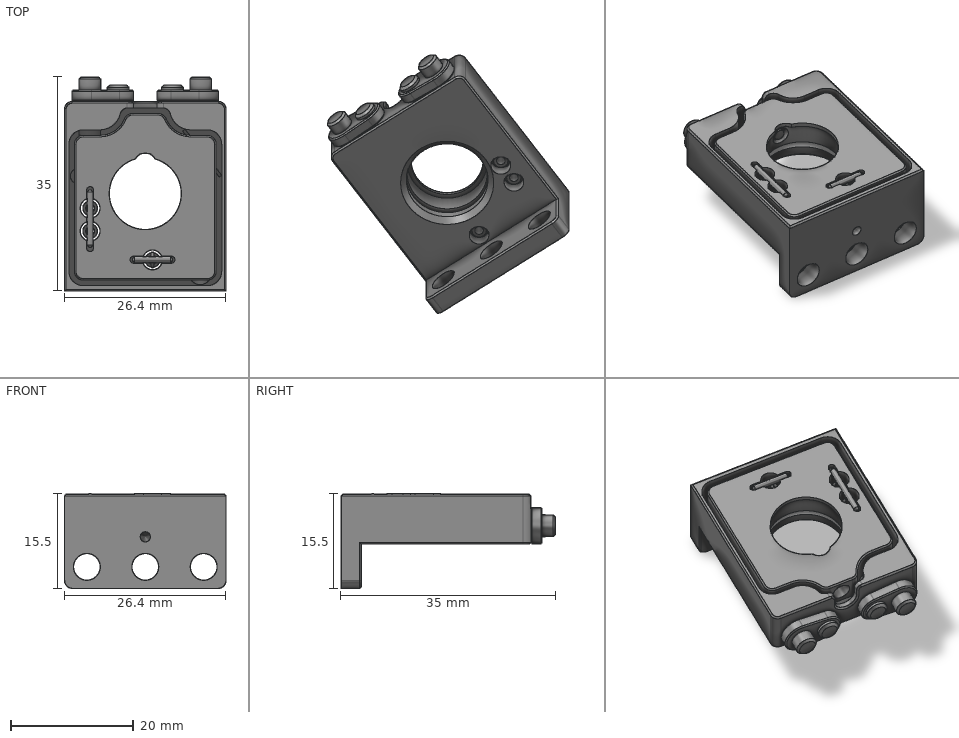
import cadquery as cq
import math


width = 26.42
housing_length = 31.0
housing_top = 15.43
slab_thickness = 8.16
slab_bottom = housing_top - slab_thickness
flange_thickness = 3.3
flange_corner_radius = 1.35
back_corner_radius = 1.25
edge_chamfer = 0.28

mount_hole_diameter = 4.33
mount_hole_spacing = 9.55
mount_hole_z = 3.55
index_hole_diameter = 1.66
index_hole_z = 8.46
index_hole_depth = 3.0
drill_tip_angle = 118

floor_z = housing_top - 5.75
pocket_half_width = 12.5
pocket_front = 0.88
pocket_shoulder = 26.37
pocket_back = 29.95
pocket_corner_radius = 2.4
pocket_neck_radius = 1.3
lobe_radius = 3.4
lobe_x = 7.4
lobe_y = pocket_shoulder + lobe_radius
back_channel_radius = 1.95
back_channel_shoulder_radius = 1.0

plate_gap = 0.9
plate_top = housing_top
plate_thickness = 4.6
plate_bottom = plate_top - plate_thickness
plate_corner_radius = pocket_corner_radius - plate_gap
plate_neck_radius = 1.5
plate_chamfer = 0.25

bore_y = 15.95
lip_radius = 5.87
lip_thickness = 0.7
optic_radius = 6.55
housing_bore_radius = 6.66
rear_chamfer = 0.95
notch_radius = 1.81
notch_y = 20.75

screw_z = 13.1
screw_hole_radius = 1.5
screw_front = 23.5
screw_back = 27.0
screw_tip_radius = 0.9
screw_tip_length = 0.8

round_seat_radius = 1.25
round_seat_position = (-11.0, 18.8)
cone_seat_radius = 1.8
cone_seat_position = (8.96, 2.85)
seat_depth = 0.8
floor_groove_start = (6.3, 26.3)
floor_groove_end = (12.3, 18.8)
floor_groove_width = 0.5
floor_groove_depth = 0.6

adjuster_z = 10.27
knob_x = 9.06
knob_radius = 1.785
knob_end = 35.0
knob_chamfer = 0.35
shaft_radius = 1.74
rivet_x = 4.43
rivet_radius = 1.8
rivet_end = 33.7
rivet_chamfer = 0.42
tab_knob_radius = 2.95
tab_rivet_radius = 2.52
tab_end = 32.85
tab_chamfer = 0.22

pin_radius = 0.5
pin_top = 15.53
pin_z = pin_top - pin_radius
pin_chamfer = 0.35
slot_width = 1.15
spring_hole_radius = 1.6
coil_radius = 0.95
wire_radius = 0.25
coil_top = 13.5
coil_bottom = 9.0

long_pin_length = 9.4
long_pin_center = (-9.02, 11.85)
long_slot_length = 10.6
long_slot_center = (-9.02, 11.78)
long_pin_springs = [(-9.02, 13.55), (-9.02, 9.8)]

short_pin_length = 6.6
short_pin_center = (1.18, 5.13)
short_slot_length = 7.33
short_slot_center = short_pin_center
short_pin_springs = [(1.18, 5.1)]

spring_positions = long_pin_springs + short_pin_springs


def cylinder_y(radius, x, z, start, end):
    """Cylinder along Y between two Y values."""
    return cq.Workplane("XZ", origin=(x, start, z)).circle(radius).extrude(start - end)


def cylinder_z(radius, x, y, bottom, top):
    """Cylinder along Z between two Z values."""
    return cq.Workplane("XY", origin=(x, y, bottom)).circle(radius).extrude(top - bottom)


def shouldered_prism(
    half_width, front, shoulder, back, scoop_radius, neck_radius, corner_radius, bottom, top
):
    """Rounded rectangle with a narrower neck at the back, joined by S-shaped flanks.

    Each flank is a scoop around the lobe centre followed by a tangent neck arc.
    """
    neck_y = back - neck_radius
    reach = scoop_radius + neck_radius
    neck_x = lobe_x - math.sqrt(reach**2 - (lobe_y - neck_y) ** 2)
    scoop_end = math.atan2(neck_y - lobe_y, neck_x - lobe_x) % (2 * math.pi)
    scoop_middle = (scoop_end + 1.5 * math.pi) / 2
    neck_start = scoop_end - math.pi
    neck_middle = (neck_start + math.pi / 2) / 2

    def on_scoop(angle):
        return lobe_x + scoop_radius * math.cos(angle), lobe_y + scoop_radius * math.sin(angle)

    def on_neck(angle):
        return neck_x + neck_radius * math.cos(angle), neck_y + neck_radius * math.sin(angle)

    def mirrored(point):
        return -point[0], point[1]

    outline = (
        cq.Workplane("XY", origin=(0, 0, bottom))
        .moveTo(-half_width, front)
        .lineTo(half_width, front)
        .lineTo(half_width, shoulder)
        .lineTo(lobe_x, shoulder)
        .threePointArc(on_scoop(scoop_middle), on_scoop(scoop_end))
        .threePointArc(on_neck(neck_middle), (neck_x, back))
        .lineTo(-neck_x, back)
        .threePointArc(mirrored(on_neck(neck_middle)), mirrored(on_scoop(scoop_end)))
        .threePointArc(mirrored(on_scoop(scoop_middle)), (-lobe_x, shoulder))
        .lineTo(-half_width, shoulder)
        .close()
    )
    prism = outline.extrude(top - bottom)
    for side in (-1, 1):
        side_x = side * half_width
        corners = cq.selectors.BoxSelector(
            (side_x - corner_radius, front - corner_radius, bottom),
            (side_x + corner_radius, shoulder + corner_radius, top),
        )
        prism = prism.edges("|Z").edges(corners).fillet(corner_radius)
    return prism


def make_housing_block():
    """L-shaped block: a slab with a mounting flange hanging below its front."""
    slab = (
        cq.Workplane("XY", origin=(0, 0, slab_bottom))
        .rect(width, 2 * housing_length)
        .extrude(slab_thickness)
        .edges("|Z and >Y")
        .fillet(back_corner_radius)
        .faces("<Z")
        .chamfer(edge_chamfer)
    )
    front_half = cq.Workplane("XY").box(2 * width, 2 * housing_length, 4 * housing_top)
    slab = slab.cut(front_half.translate((0, -housing_length, 0)))
    flange = (
        cq.Workplane("XY")
        .box(width, flange_thickness, housing_top, centered=(True, False, False))
        .edges("|Y and <Z")
        .fillet(flange_corner_radius)
        .faces(">Y")
        .chamfer(edge_chamfer)
    )
    return slab.union(flange).faces(">Z").chamfer(edge_chamfer)


def make_adjuster(side):
    """Tab with a knob and a rivet, on the back face at the given side."""
    knob_center = side * knob_x
    rivet_center = side * rivet_x
    tilt = math.asin((tab_knob_radius - tab_rivet_radius) / (knob_x - rivet_x))
    toward_rivet = -side * math.sin(tilt)
    knob_tangent_x = knob_center + tab_knob_radius * toward_rivet
    rivet_tangent_x = rivet_center + tab_rivet_radius * toward_rivet
    knob_rise = tab_knob_radius * math.cos(tilt)
    rivet_rise = tab_rivet_radius * math.cos(tilt)
    tab = (
        cq.Workplane("XZ", origin=(0, housing_length, adjuster_z))
        .moveTo(knob_tangent_x, knob_rise)
        .lineTo(rivet_tangent_x, rivet_rise)
        .threePointArc((rivet_center - side * tab_rivet_radius, 0), (rivet_tangent_x, -rivet_rise))
        .lineTo(knob_tangent_x, -knob_rise)
        .threePointArc((knob_center + side * tab_knob_radius, 0), (knob_tangent_x, knob_rise))
        .close()
        .extrude(housing_length - tab_end)
        .faces("<Y or >Y")
        .chamfer(tab_chamfer)
    )
    knob = cylinder_y(knob_radius, knob_center, adjuster_z, housing_length, knob_end)
    rivet = cylinder_y(rivet_radius, rivet_center, adjuster_z, housing_length, rivet_end)
    knob = knob.faces(">Y").chamfer(knob_chamfer)
    rivet = rivet.faces(">Y").chamfer(rivet_chamfer)
    return tab.union(knob).union(rivet)


def cut_pocket(body):
    """Pocket for the plate, with a channel of chamfered mouth out through the back wall."""
    pocket = shouldered_prism(
        pocket_half_width, pocket_front, pocket_shoulder, pocket_back,
        lobe_radius, pocket_neck_radius, pocket_corner_radius, floor_z, housing_top,
    )
    body = body.cut(pocket).cut(make_back_channel())
    half_mouth = back_channel_radius + back_channel_shoulder_radius
    mouth_region = cq.selectors.BoxSelector(
        (-half_mouth, housing_length - edge_chamfer / 2, slab_bottom + edge_chamfer),
        (half_mouth, housing_length + edge_chamfer / 2, housing_top),
    )
    return body.edges(mouth_region).chamfer(edge_chamfer)


def make_back_channel():
    """U-shaped channel along Y whose sides flare out at the top over rounded shoulders."""
    half_width = back_channel_radius
    shoulder_radius = back_channel_shoulder_radius
    half_mouth = half_width + shoulder_radius
    shoulder_z = housing_top - shoulder_radius
    arc_offset = shoulder_radius * (1 - math.sqrt(0.5))
    arc_x = half_width + arc_offset
    arc_z = housing_top - arc_offset
    return (
        cq.Workplane("XZ", origin=(0, housing_length, 0))
        .moveTo(-half_width, screw_z)
        .threePointArc((0, screw_z - half_width), (half_width, screw_z))
        .lineTo(half_width, shoulder_z)
        .threePointArc((arc_x, arc_z), (half_mouth, housing_top))
        .lineTo(-half_mouth, housing_top)
        .threePointArc((-arc_x, arc_z), (-half_width, shoulder_z))
        .close()
        .extrude(housing_length - bore_y)
    )


def cut_floor_features(body):
    """Bore, spring holes, ball seats and grooves in the pocket floor."""
    body = body.cut(cylinder_z(housing_bore_radius, 0, bore_y, slab_bottom, floor_z))
    rear_cone = cq.Solid.makeCone(
        housing_bore_radius + rear_chamfer, housing_bore_radius, rear_chamfer,
        cq.Vector(0, bore_y, slab_bottom), cq.Vector(0, 0, 1),
    )
    body = body.cut(cq.Workplane(rear_cone))
    for x, y in spring_positions:
        body = body.cut(cylinder_z(spring_hole_radius, x, y, slab_bottom, floor_z))
    body = body.cut(cylinder_z(round_seat_radius, *round_seat_position, floor_z - seat_depth, floor_z))
    cone_seat = cq.Solid.makeCone(
        cone_seat_radius - seat_depth, cone_seat_radius, seat_depth,
        cq.Vector(*cone_seat_position, floor_z - seat_depth), cq.Vector(0, 0, 1),
    )
    body = body.cut(cq.Workplane(cone_seat))
    run_x = floor_groove_end[0] - floor_groove_start[0]
    run_y = floor_groove_end[1] - floor_groove_start[1]
    groove_plane = cq.Plane(
        origin=(*floor_groove_start, floor_z), xDir=(-run_y, run_x, 0), normal=(run_x, run_y, 0)
    )
    half_groove = floor_groove_width / 2
    groove = (
        cq.Workplane(groove_plane)
        .polyline([(-half_groove, 0), (half_groove, 0), (half_groove, -floor_groove_depth)])
        .close()
        .extrude(math.hypot(run_x, run_y))
    )
    return body.cut(groove)


def cut_mounting_holes(body):
    """Three through holes and one conical-ended index hole in the mounting face."""
    for column in (-1, 0, 1):
        hole_x = column * mount_hole_spacing
        body = body.cut(
            cylinder_y(mount_hole_diameter / 2, hole_x, mount_hole_z, 0, flange_thickness)
        )
    index_radius = index_hole_diameter / 2
    tip_length = index_radius / math.tan(math.radians(drill_tip_angle / 2))
    tip = cq.Solid.makeCone(
        index_radius, 0, tip_length, cq.Vector(0, index_hole_depth, index_hole_z), cq.Vector(0, 1, 0)
    )
    index_hole = cylinder_y(index_radius, 0, index_hole_z, 0, index_hole_depth)
    return body.cut(index_hole.union(cq.Workplane(tip)))


def make_housing():
    body = make_housing_block()
    body = cut_pocket(body)
    body = cut_floor_features(body)
    body = cut_mounting_holes(body)
    for side in (-1, 1):
        body = body.union(make_adjuster(side))
    shaft = cylinder_y(
        shaft_radius, -knob_x, adjuster_z, pocket_shoulder - plate_gap, housing_length
    )
    return body.union(shaft)


def make_plate():
    """Optic carrier floating in the pocket."""
    body = shouldered_prism(
        pocket_half_width - plate_gap, pocket_front + plate_gap,
        pocket_shoulder - plate_gap, pocket_back - plate_gap,
        lobe_radius + plate_gap, plate_neck_radius, plate_corner_radius, plate_bottom, plate_top,
    )
    body = body.faces(">Z").chamfer(plate_chamfer)

    body = body.cut(cylinder_z(lip_radius, 0, bore_y, plate_bottom, plate_top))
    body = body.cut(cylinder_z(optic_radius, 0, bore_y, plate_bottom, plate_top - lip_thickness))
    body = body.cut(cylinder_z(notch_radius, 0, notch_y, plate_top - lip_thickness, plate_top))

    body = body.cut(cylinder_y(screw_hole_radius, 0, screw_z, bore_y, screw_front))
    body = body.cut(cylinder_y(screw_hole_radius, 0, screw_z, screw_back, pocket_back))
    body = body.union(
        cylinder_y(screw_tip_radius, 0, screw_z, screw_front - screw_tip_length, screw_front)
    )

    for x, y in spring_positions:
        body = body.cut(cylinder_z(spring_hole_radius, x, y, plate_bottom, plate_top))
    slot_bottom = pin_z - pin_radius
    for center, length, angle in (
        (long_slot_center, long_slot_length, 90),
        (short_slot_center, short_slot_length, 0),
    ):
        slot = (
            cq.Workplane("XY", origin=(*center, slot_bottom))
            .slot2D(length, slot_width, angle)
            .extrude(plate_top - slot_bottom)
        )
        body = body.cut(slot)
    return body


def make_spring(position):
    """Close-wound coil with a hook that lies along Y and arches up into the pin."""
    coil = (
        cq.Workplane("XY", origin=(0, 0, coil_bottom))
        .circle(coil_radius + wire_radius)
        .circle(coil_radius - wire_radius)
        .extrude(coil_top - coil_bottom)
    )
    hook_base = coil_top - wire_radius
    hook_path = (
        cq.Workplane("YZ")
        .moveTo(-coil_radius, hook_base)
        .threePointArc((0, pin_z - wire_radius), (coil_radius, hook_base))
    )
    hook_rise = pin_z - wire_radius - hook_base
    start_angle = 2 * math.atan2(hook_rise, coil_radius)
    start_plane = cq.Plane(
        origin=(0, -coil_radius, hook_base), xDir=(1, 0, 0),
        normal=(0, math.cos(start_angle), math.sin(start_angle)),
    )
    hook = cq.Workplane(start_plane).circle(wire_radius).sweep(hook_path)
    return coil.union(hook).translate((*position, 0))


def make_spring_pin(center, length, pin_angle, spring_list):
    """Round pin with chamfered ends, carrying its springs."""
    pin = (
        cq.Workplane("YZ", origin=(-length / 2, 0, 0))
        .circle(pin_radius)
        .extrude(length)
        .faces("<X or >X")
        .chamfer(pin_chamfer)
        .rotate((0, 0, 0), (0, 0, 1), pin_angle)
        .translate((*center, pin_z))
    )
    for position in spring_list:
        pin = pin.union(make_spring(position))
    return pin


housing = make_housing()
plate = make_plate()
long_spring_pin = make_spring_pin(long_pin_center, long_pin_length, 90, long_pin_springs)
short_spring_pin = make_spring_pin(short_pin_center, short_pin_length, 0, short_pin_springs)

bodies = [housing, plate, long_spring_pin, short_spring_pin]
result = cq.Compound.makeCompound([body.solids().val() for body in bodies])